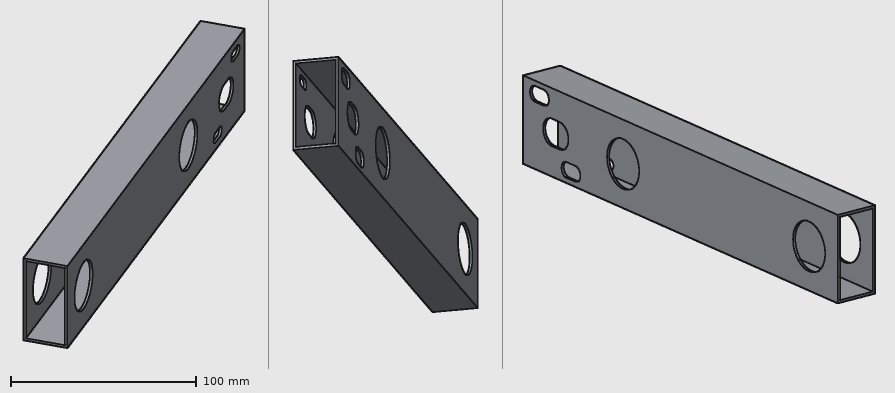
import cadquery as cq

WIDTH = 25.4
LENGTH = 279.4
HEIGHT = 50.8
WALL = 1.5875

ROUND_HOLE_DIAMETER = 28.57
ROUND_HOLE_SETBACKS = (88.9, 254.0)

CENTER_SLOT_LENGTH = 22.5
CENTER_SLOT_HEIGHT = 15.7
CENTER_SLOT_SETBACK = 29.15

HIGH_SLOT_SETBACK = 14.6
LOW_SLOT_SETBACK = 42.6
SMALL_SLOT_OFFSET_Z = 17.8
ACCESS_SLOT_LENGTH = 16.75
ACCESS_SLOT_HEIGHT = 9.05
SMALL_SLOT_LENGTH = 13.05
SMALL_SLOT_HEIGHT = 6.0


def from_end(setback):
    """Y position at a given distance from the +Y end of the tube."""
    return LENGTH / 2 - setback


def side_plane(x):
    """Workplane facing +X at the given X, with local axes Y and Z."""
    return cq.Workplane("YZ", origin=(x, 0, 0))


def make_tube():
    outer = cq.Workplane("XY").box(WIDTH, LENGTH, HEIGHT)
    bore = cq.Workplane("XY").box(WIDTH - 2 * WALL, LENGTH, HEIGHT - 2 * WALL)
    return outer.cut(bore)


def round_hole_cutter():
    centers = [(from_end(setback), 0) for setback in ROUND_HOLE_SETBACKS]
    return side_plane(-WIDTH / 2).pushPoints(centers).circle(ROUND_HOLE_DIAMETER / 2).extrude(WIDTH)


def slot_cutter(centers, length, height, start_x, depth):
    """Round-ended slots, lengthwise along Y, cut toward +X from start_x."""
    return side_plane(start_x).pushPoints(centers).slot2D(length, height).extrude(depth)


small_slot_centers = [
    (from_end(HIGH_SLOT_SETBACK), SMALL_SLOT_OFFSET_Z),
    (from_end(LOW_SLOT_SETBACK), -SMALL_SLOT_OFFSET_Z),
]

center_slot = slot_cutter(
    [(from_end(CENTER_SLOT_SETBACK), 0)], CENTER_SLOT_LENGTH, CENTER_SLOT_HEIGHT, -WIDTH / 2, WIDTH
)
access_slots = slot_cutter(
    small_slot_centers, ACCESS_SLOT_LENGTH, ACCESS_SLOT_HEIGHT, -WIDTH / 2, WALL
)
small_slots = slot_cutter(
    small_slot_centers, SMALL_SLOT_LENGTH, SMALL_SLOT_HEIGHT, WIDTH / 2 - WALL, WALL
)

result = make_tube()
for cutter in (round_hole_cutter(), center_slot, access_slots, small_slots):
    result = result.cut(cutter)